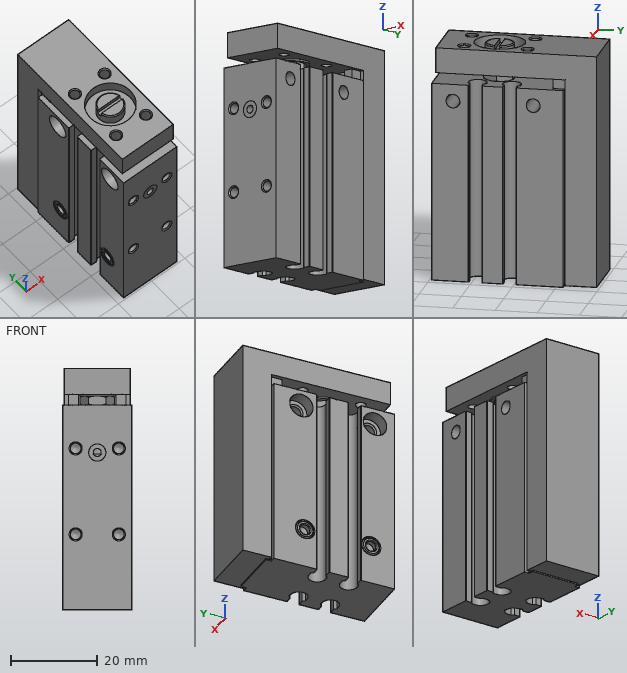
import cadquery as cq
import math

overall_height = 56.0

housing_width = 16.0
housing_depth = 31.15
housing_height = 47.5
lip_reach = 1.4
lip_thickness = 0.35

table_width = 15.35
table_front = 0.9
table_back = 39.0
plate_thickness = 6.0
leg_thickness = 7.45

rail_width = 13.3
rail_thickness = 3.1
rail_groove_width = 8.75
rail_groove_depth = 1.5

slot_positions = (18.4, 10.3)
slot_neck_width = 3.1
slot_neck_length = 1.7
slot_round_diameter = 4.25
slot_straight_length = 0.9
slot_edge_chamfer = 0.15

cross_hole_positions = (5.05, 24.0)
cross_hole_height = 43.45
cross_hole_diameter = 3.25
cross_hole_mouth = 4.0
counterbore_diameter = 6.0
counterbore_depth = 3.3

tapped_mouth = 3.0
tapped_bore = 2.45
tapped_depth = 4.5
front_hole_spacing = 10.0
front_hole_heights = (17.5, 37.45)
plate_hole_spacing_x = 8.95
plate_hole_spacing_y = 15.0
drill_tip_angle = 118.0

port_positions = (6.05, 23.1)
port_height = 10.1
port_mouth = 5.0
port_bore = 4.6
port_depth = 2.25
side_plug_face = 4.0
side_plug_hole_mouth = 3.0
side_plug_hole = 2.6
side_plug_hole_depth = 1.4

front_plug_height = 36.5
front_plug_diameter = 4.0
front_plug_length = 2.8
front_plug_hole = 1.85

rod_axis_y = 14.5
recess_diameter = 12.0
recess_depth = 2.8
boss_diameter = 8.8
boss_thickness = 0.45
rod_head_diameter = 6.8
rod_head_chamfer = 0.3
rod_slot_width = 1.2
rod_slot_depth = 1.0
rod_shank_diameter = 4.0
rod_diameter = 6.0
piston_diameter = 6.8
piston_top = 36.2
piston_length = 5.6
nut_sides = 6
nut_across_flats = 6.9
nut_face_diameter = 7.05
nut_chamfer_angle = 30.0

side_x = -housing_width / 2
plate_bottom = overall_height - plate_thickness
leg_front = table_back - leg_thickness
rail_front = leg_front - rail_thickness
boss_bottom = plate_bottom - boss_thickness
recess_floor = overall_height - recess_depth


def block(x_size, y_start, y_end, z_start, z_end):
    """A box centred on x = 0."""
    return (
        cq.Workplane("XY")
        .box(x_size, y_end - y_start, z_end - z_start, centered=(True, False, False))
        .translate((0, y_start, z_start))
    )


def turned(profile, start, direction):
    """Revolve (radius, distance) points about an axis that leaves `start` along `direction`."""
    turned_shape = cq.Workplane("XZ").polyline(profile).close().revolve(360, (0, 0), (0, 1))
    frame = cq.Plane(origin=start, normal=direction)
    return cq.Workplane(turned_shape.val().moved(cq.Location(frame)))


def drilled_profile(mouth, bore, depth):
    """Half section of a blind hole with a 45 degree mouth and a drill-tip bottom."""
    mouth_depth = (mouth - bore) / 2
    tip_depth = bore / 2 / math.tan(math.radians(drill_tip_angle / 2))
    return [
        (0, 0),
        (mouth / 2, 0),
        (bore / 2, mouth_depth),
        (bore / 2, depth),
        (0, depth + tip_depth),
    ]


def cylinder_profile(diameter, length):
    return [(0, 0), (diameter / 2, 0), (diameter / 2, length), (0, length)]


def plug_profile(diameter, face_diameter, length):
    """Half section of a round plug whose outer face has a 45 degree edge."""
    edge = (diameter - face_diameter) / 2
    return [
        (0, 0),
        (face_diameter / 2, 0),
        (diameter / 2, edge),
        (diameter / 2, length),
        (0, length),
    ]


def sensor_slot(y):
    """Slot cutter for the -X side: chamfered mouth, neck, shoulders and round bottom."""
    half_neck = slot_neck_width / 2
    half_mouth = half_neck + slot_edge_chamfer
    radius = slot_round_diameter / 2
    neck_end = side_x + slot_neck_length
    shoulder_end = neck_end + radius - half_neck
    round_start = shoulder_end + slot_straight_length
    return (
        cq.Workplane("XY")
        .moveTo(side_x, y - half_mouth)
        .lineTo(side_x + slot_edge_chamfer, y - half_neck)
        .lineTo(neck_end, y - half_neck)
        .lineTo(shoulder_end, y - radius)
        .lineTo(round_start, y - radius)
        .threePointArc((round_start + radius, y), (round_start, y + radius))
        .lineTo(shoulder_end, y + radius)
        .lineTo(neck_end, y + half_neck)
        .lineTo(side_x + slot_edge_chamfer, y + half_neck)
        .lineTo(side_x, y + half_mouth)
        .close()
        .extrude(housing_height)
    )


def cross_hole(y):
    """Counterbored hole through the housing along X."""
    mouth_end = counterbore_depth + (cross_hole_mouth - cross_hole_diameter) / 2
    profile = [
        (0, 0),
        (counterbore_diameter / 2, 0),
        (counterbore_diameter / 2, counterbore_depth),
        (cross_hole_mouth / 2, counterbore_depth),
        (cross_hole_diameter / 2, mouth_end),
        (cross_hole_diameter / 2, housing_width),
        (0, housing_width),
    ]
    return turned(profile, (side_x, y, cross_hole_height), (1, 0, 0))


def port(y):
    """Flat-bottomed side port with a 45 degree mouth."""
    mouth_depth = (port_mouth - port_bore) / 2
    profile = [
        (0, 0),
        (port_mouth / 2, 0),
        (port_bore / 2, mouth_depth),
        (port_bore / 2, port_depth),
        (0, port_depth),
    ]
    return turned(profile, (side_x, y, port_height), (1, 0, 0))


def make_housing():
    """Block with a rear channel for the rail, a thin rear lip below the table, slots and holes."""
    body = block(housing_width, 0, housing_depth, 0, housing_height)
    body = body.cut(block(rail_width, rail_front, housing_depth, lip_thickness, housing_height))
    body = body.union(block(rail_width, rail_front, housing_depth + lip_reach, 0, lip_thickness))
    for y in slot_positions:
        slot = sensor_slot(y)
        body = body.cut(slot).cut(slot.mirror("YZ"))
    for y in cross_hole_positions:
        body = body.cut(cross_hole(y))
    for y in port_positions:
        body = body.cut(port(y))
    front_hole = drilled_profile(tapped_mouth, tapped_bore, tapped_depth)
    for z in front_hole_heights:
        for x in (-front_hole_spacing / 2, front_hole_spacing / 2):
            body = body.cut(turned(front_hole, (x, 0, z), (0, 1, 0)))
    front_bore = cylinder_profile(front_plug_diameter, front_plug_length)
    body = body.cut(turned(front_bore, (0, 0, front_plug_height), (0, 1, 0)))
    passage = cylinder_profile(front_plug_hole, rod_axis_y)
    body = body.cut(turned(passage, (0, 0, front_plug_height), (0, 1, 0)))
    return body.cut(make_rod())


def make_table():
    """L-shaped table with a boss and recess around the rod and four tapped plate holes."""
    leg = block(table_width, leg_front, table_back, lip_thickness, overall_height)
    plate = block(table_width, table_front, table_back, plate_bottom, overall_height)
    boss = cylinder_profile(boss_diameter, boss_thickness)
    recess = cylinder_profile(recess_diameter, recess_depth)
    rod_hole = cylinder_profile(rod_shank_diameter, overall_height - boss_bottom)
    table = leg.union(plate)
    table = table.union(turned(boss, (0, rod_axis_y, boss_bottom), (0, 0, 1)))
    table = table.cut(turned(recess, (0, rod_axis_y, recess_floor), (0, 0, 1)))
    table = table.cut(turned(rod_hole, (0, rod_axis_y, boss_bottom), (0, 0, 1)))
    mouth_depth = (tapped_mouth - tapped_bore) / 2
    plate_hole = [
        (0, 0),
        (tapped_mouth / 2, 0),
        (tapped_bore / 2, mouth_depth),
        (tapped_bore / 2, plate_thickness),
        (0, plate_thickness),
    ]
    for x in (-plate_hole_spacing_x / 2, plate_hole_spacing_x / 2):
        for y_offset in (-plate_hole_spacing_y / 2, plate_hole_spacing_y / 2):
            top = (x, rod_axis_y + y_offset, overall_height)
            table = table.cut(turned(plate_hole, top, (0, 0, -1)))
    return table


def make_rail():
    """Straight bar with a shallow groove along its front face."""
    rail = block(rail_width, rail_front, leg_front, lip_thickness, plate_bottom)
    groove_floor = rail_front + rail_groove_depth
    return rail.cut(block(rail_groove_width, rail_front, groove_floor, lip_thickness, plate_bottom))


def make_rod():
    """Piston and rod inside the housing, a thinner shank above it and a slotted head."""
    piston_radius = piston_diameter / 2
    rod_radius = rod_diameter / 2
    head_radius = rod_head_diameter / 2
    shank_radius = rod_shank_diameter / 2
    profile = [
        (0, piston_top - piston_length),
        (piston_radius, piston_top - piston_length),
        (piston_radius, piston_top),
        (rod_radius, piston_top),
        (rod_radius, housing_height),
        (shank_radius, housing_height),
        (shank_radius, recess_floor),
        (head_radius, recess_floor),
        (head_radius, overall_height - rod_head_chamfer),
        (head_radius - rod_head_chamfer, overall_height),
        (0, overall_height),
    ]
    rod = turned(profile, (0, rod_axis_y, 0), (0, 0, 1))
    slot = block(
        rod_head_diameter,
        rod_axis_y - rod_slot_width / 2,
        rod_axis_y + rod_slot_width / 2,
        overall_height - rod_slot_depth,
        overall_height,
    )
    return rod.cut(slot)


def make_nut():
    """Hexagon between the housing top and the boss, flats facing +-Y, corners chamfered."""
    across_corners = nut_across_flats / math.cos(math.pi / nut_sides)
    corner_drop = (across_corners - nut_face_diameter) / 2 * math.tan(math.radians(nut_chamfer_angle))
    thickness = boss_bottom - housing_height
    envelope = [
        (rod_shank_diameter / 2, 0),
        (nut_face_diameter / 2, 0),
        (across_corners / 2, corner_drop),
        (across_corners / 2, thickness - corner_drop),
        (nut_face_diameter / 2, thickness),
        (rod_shank_diameter / 2, thickness),
    ]
    base = (0, rod_axis_y, housing_height)
    hexagon = cq.Workplane("XY").polygon(nut_sides, across_corners).extrude(thickness).translate(base)
    return hexagon.intersect(turned(envelope, base, (0, 0, 1)))


def make_side_plug(y):
    face = (side_x, y, port_height)
    plug = turned(plug_profile(port_bore, side_plug_face, port_depth), face, (1, 0, 0))
    hole = drilled_profile(side_plug_hole_mouth, side_plug_hole, side_plug_hole_depth)
    return plug.cut(turned(hole, face, (1, 0, 0)))


def make_front_plug():
    face = (0, 0, front_plug_height)
    plug = turned(cylinder_profile(front_plug_diameter, front_plug_length), face, (0, 1, 0))
    hole = cylinder_profile(front_plug_hole, front_plug_length)
    return plug.cut(turned(hole, face, (0, 1, 0)))


housing = make_housing()
table = make_table()
rail = make_rail()
rod = make_rod()
nut = make_nut()
front_plug = make_front_plug()
side_plugs = [make_side_plug(y) for y in port_positions]

result = cq.Compound.makeCompound(
    [
        housing.val(),
        table.val(),
        rail.val(),
        rod.val(),
        nut.val(),
        front_plug.val(),
        *[plug.val() for plug in side_plugs],
    ]
)